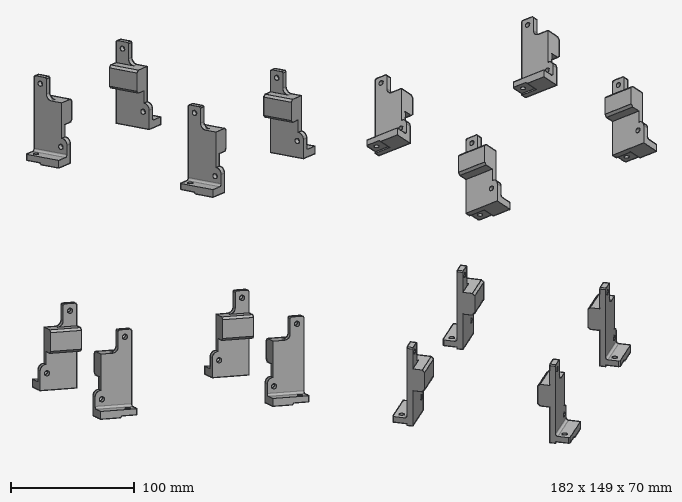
import cadquery as cq
import math

span_x = 182.0
span_y = 149.0
total_height = 70.0

bracket_width = 32.0
block_width = 27.0
tab_width = 12.0

foot_depth = 12.0
block_depth = 10.0
plate_thickness = block_depth / 2
plate_back = foot_depth + plate_thickness

foot_thickness = 6.5
ear_height = 21.5
block_bottom = 31.8
block_top = 51.3

tab_fillet = 5.1
ear_radius = bracket_width - block_width
corner_chamfer = 1.0
foot_fillet = 2.0
block_chamfer = 2.0

hole_diameter = 4.2
hole_inset = 6.0
ear_hole_height = 14.0

relief_depth = 1.5
relief_length = 13.5

ARC_MIDDLE = math.sqrt(0.5)


def make_plate():
    """Upright plate with a narrow tab on top and a rounded ear low on the +X side."""
    ear_center_x = bracket_width - ear_radius
    ear_center_z = ear_height - ear_radius
    notch_center_x = tab_width + tab_fillet
    notch_center_z = block_top + tab_fillet
    outline = (
        cq.Workplane("XZ", origin=(0, plate_back, 0))
        .moveTo(0, 0)
        .lineTo(bracket_width, 0)
        .lineTo(bracket_width, ear_center_z)
        .threePointArc(
            (ear_center_x + ear_radius * ARC_MIDDLE, ear_center_z + ear_radius * ARC_MIDDLE),
            (ear_center_x, ear_height),
        )
        .lineTo(block_width, block_top)
        .lineTo(notch_center_x, block_top)
        .threePointArc(
            (notch_center_x - tab_fillet * ARC_MIDDLE, notch_center_z - tab_fillet * ARC_MIDDLE),
            (tab_width, notch_center_z),
        )
        .lineTo(tab_width, total_height)
        .lineTo(0, total_height)
        .close()
    )
    plate = outline.extrude(plate_thickness)
    return plate.faces(">Z").edges("|Y").chamfer(corner_chamfer)


def make_foot():
    """Flat foot with its outer -X corner chamfered."""
    foot = cq.Workplane("XY").box(bracket_width, foot_depth, foot_thickness, centered=False)
    return foot.edges("|Z and <X and <Y").chamfer(corner_chamfer)


def make_foot_fillet():
    """Concave strip that blends the top of the foot into the plate."""
    center_y = foot_depth - foot_fillet
    center_z = foot_thickness + foot_fillet
    return (
        cq.Workplane("YZ")
        .moveTo(foot_depth, foot_thickness)
        .lineTo(center_y, foot_thickness)
        .threePointArc(
            (center_y + foot_fillet * ARC_MIDDLE, center_z - foot_fillet * ARC_MIDDLE),
            (foot_depth, center_z),
        )
        .close()
        .extrude(bracket_width)
    )


def make_block():
    """Block on the inner face of the plate, chamfered along its two far edges."""
    block = cq.Workplane("XY", origin=(0, plate_back, block_bottom)).box(
        block_width, block_depth, block_top - block_bottom, centered=False
    )
    return block.faces(">Y").edges("|X").chamfer(block_chamfer)


def make_relief():
    """Shallow pocket under the -X end of the foot, closed by a 45 degree wall."""
    return (
        cq.Workplane("XZ", origin=(0, foot_depth, 0))
        .moveTo(0, 0)
        .lineTo(relief_length + relief_depth, 0)
        .lineTo(relief_length, relief_depth)
        .lineTo(0, relief_depth)
        .close()
        .extrude(foot_depth)
    )


def make_holes():
    """Tab and ear holes through the plate, and one hole through the foot."""
    plate_holes = (
        cq.Workplane("XZ", origin=(0, plate_back, 0))
        .pushPoints([
            (hole_inset, total_height - hole_inset),
            (bracket_width - hole_inset, ear_hole_height),
        ])
        .circle(hole_diameter / 2)
        .extrude(plate_thickness)
    )
    foot_hole = (
        cq.Workplane("XY")
        .center(hole_inset, hole_inset)
        .circle(hole_diameter / 2)
        .extrude(foot_thickness)
    )
    return plate_holes.add(foot_hole).combine()


def make_bracket():
    """Bracket with its foot pointing to -Y and its outer foot corner at the origin."""
    body = make_plate().union(make_foot()).union(make_foot_fillet()).union(make_block())
    return body.cut(make_relief()).cut(make_holes())


bracket = make_bracket()
brackets = []
for x in (-span_x / 2, span_x / 2 - bracket_width):
    front_bracket = bracket.translate((x, -span_y / 2, 0))
    rear_bracket = front_bracket.mirror("XZ")
    brackets.append(front_bracket.val())
    brackets.append(rear_bracket.val())

result = cq.Compound.makeCompound(brackets)